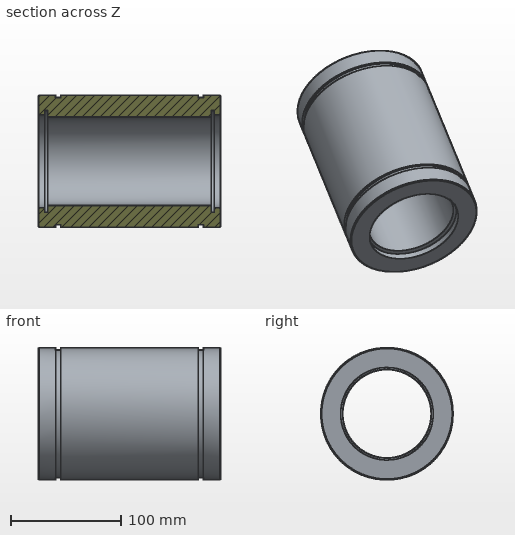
import cadquery as cq

length = 165.0
outer_diameter = 120.0
bore_diameter = 80.0
edge_chamfer = 0.8

ring_groove_diameter = 116.0
ring_groove_width = 4.5
ring_groove_inset = 15.7

lip_diameter = 84.0
lip_depth = 6.0
seat_diameter = 92.0
seat_width = 2.3


def cylinder(diameter, start, width):
    """Solid cylinder along X, beginning at the given X position."""
    return cq.Workplane("YZ", origin=(start, 0, 0)).circle(diameter / 2).extrude(width)


def both_ends(feature, inset, width, diameter):
    """Apply a cutter at the same inset from each end face."""
    left_start = -length / 2 + inset
    right_start = length / 2 - inset - width
    return feature(diameter, left_start, width).union(feature(diameter, right_start, width))


def outer_groove(diameter, start, width):
    """Ring of material outside the groove floor."""
    return cylinder(outer_diameter, start, width).cut(cylinder(diameter, start, width))


sleeve = cylinder(outer_diameter, -length / 2, length).edges().chamfer(edge_chamfer)
sleeve = sleeve.cut(both_ends(outer_groove, ring_groove_inset, ring_groove_width, ring_groove_diameter))
sleeve = sleeve.cut(cylinder(bore_diameter, -length / 2, length))
sleeve = sleeve.cut(both_ends(cylinder, 0, lip_depth, lip_diameter))
sleeve = sleeve.cut(both_ends(cylinder, lip_depth, seat_width, seat_diameter))

result = sleeve